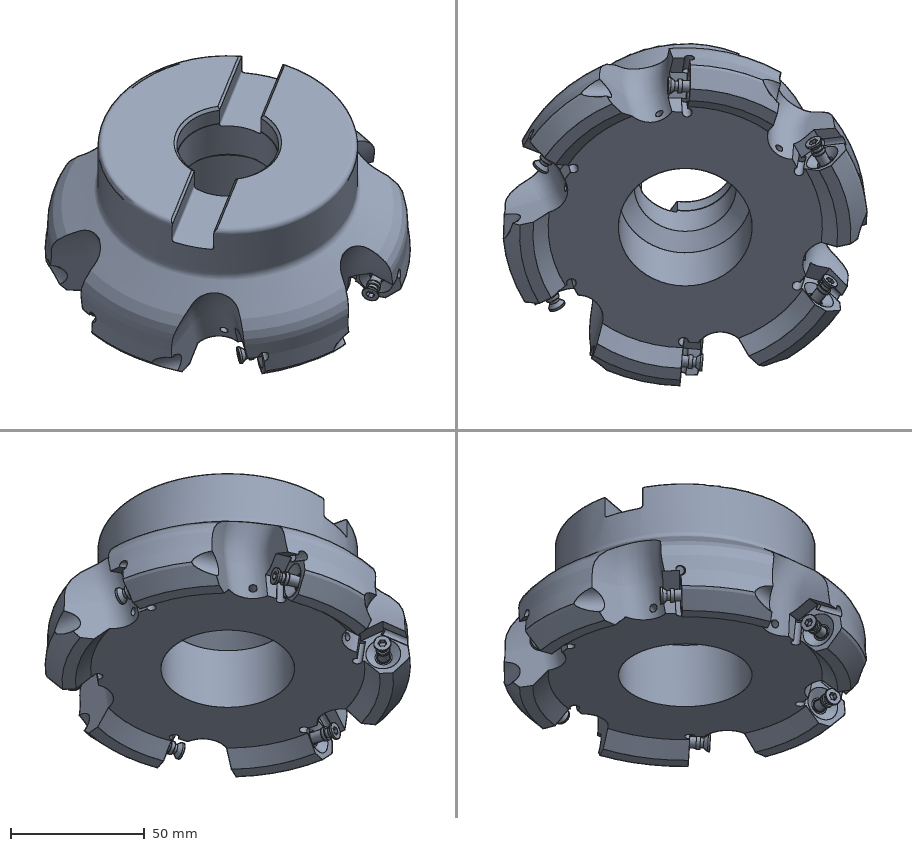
import cadquery as cq
import math

total_height = 61.71
rim_radius = 68.35
rim_low = 6.0
rim_high = 7.2
hub_radius = 48.6
hub_edge_round = 2.0
hub_base_z = 40.4
shoulder_top = (49.8, 38.0)
shoulder_facets = [(62.2, 29.3), (65.4, 26.0), (66.9, 23.1), (67.4, 20.7), (67.5, 14.5)]
neck_mid = (48.95, 39.1)
face_radius = 62.0
face_edge = 0.6
dish_outer_radius = 57.0
dish_depth = 5.7

bore_radius = 19.0
bore_chamfer = 1.1
bore_bottom_z = 37.7
relief_top_z = 53.7
relief_step = 0.15
counterbore_radius = 25.0
slot_width = 16.1
slot_depth = 9.5
slot_edge_chamfer = 0.9
slot_floor_round = 1.1
slot_overrun = 3.0

station_count = 6
station_pitch = 360 / station_count

seat_x = 58.4
seat_y = -2.9
seat_z = 8.5
seat_dip = 3.0
seat_wall_reach = 9.2
seat_top_wall = 62.0
seat_inner_wall = 172.0
seat_span = 26.0
seat_cut_length = 12.0
undercut_radius = 1.8
dish_ring_radius = 6.5
dish_ring_depth = 2.5
dish_ring_bottom = 3.2
driver_radius = 5.2
driver_start = 10.0
driver_length = 60.0

shank_radius = 2.6
shank_depth = 9.0
screw_height = 7.7
head_radius = 3.2
head_rim = 0.8
head_cone = 1.6
neck_radius = 1.9
collar_low = 2.5
collar_high = 4.0
collar_radius = 2.6
stem_radius = 2.2
socket_width = 3.2
socket_depth = 2.0

coolant_radius = 1.5
coolant_mouth = (46.6, -13.5, 9.8)
coolant_depth = 10.0
coolant_lead = 3.0
coolant_direction = cq.Vector(0.9, -0.43, 0)

gullet_bend = cq.Vector(45.3, -17.8, 19.6)
gullet_axis = cq.Vector(1.5, -2.6, 13.6).normalized()
gullet_heading = -12.0
gullet_floor_radius = 9.5
gullet_seat_wall = 11.0
gullet_back_wall = -36.0
gullet_reach = 19.0
gullet_drop = 30.0
gullet_curve_radius = 32.0
gullet_curve_angle = 50.0
gullet_curve_heading = 40.0

seat_plane = cq.Plane(
    origin=(seat_x, seat_y, seat_z),
    xDir=(1, 0, 0),
    normal=(0, -math.cos(math.radians(seat_dip)), -math.sin(math.radians(seat_dip))),
)


def polar(radius, degrees):
    """Plane point at a distance and angle from the origin."""
    angle = math.radians(degrees)
    return (radius * math.cos(angle), radius * math.sin(angle))


def at_stations(shape):
    """Copies of a shape at every cutting station."""
    return [shape.rotate((0, 0, 0), (0, 0, 1), k * station_pitch) for k in range(station_count)]


def make_blank():
    """Turned blank: dished face, lead chamfer, faceted shoulder, neck and hub."""
    profile = (
        cq.Workplane("XZ")
        .moveTo(0, dish_depth)
        .lineTo(dish_outer_radius - dish_depth, dish_depth)
        .lineTo(dish_outer_radius, 0)
        .lineTo(face_radius, 0)
        .lineTo(face_radius + face_edge, face_edge)
        .lineTo(rim_radius - face_edge, rim_low)
        .lineTo(rim_radius, rim_high)
    )
    for point in reversed(shoulder_facets):
        profile = profile.lineTo(*point)
    arc_drop = hub_edge_round * math.sin(math.radians(45))
    round_centre = (hub_radius - hub_edge_round, total_height - hub_edge_round)
    profile = (
        profile.lineTo(*shoulder_top)
        .threePointArc(neck_mid, (hub_radius, hub_base_z))
        .lineTo(hub_radius, total_height - hub_edge_round)
        .threePointArc(
            (round_centre[0] + arc_drop, round_centre[1] + arc_drop),
            (round_centre[0], total_height),
        )
        .lineTo(0, total_height)
        .close()
    )
    return profile.revolve(360, (0, 0, 0), (0, 1, 0))


def make_bore():
    """Stepped bore, chamfered at the top and coned out to the counterbore."""
    cone_height = counterbore_radius - bore_radius
    return (
        cq.Workplane("XZ")
        .moveTo(0, 0)
        .lineTo(counterbore_radius, 0)
        .lineTo(counterbore_radius, bore_bottom_z - cone_height)
        .lineTo(bore_radius + relief_step, bore_bottom_z)
        .lineTo(bore_radius + relief_step, relief_top_z)
        .lineTo(bore_radius, relief_top_z)
        .lineTo(bore_radius, total_height - bore_chamfer)
        .lineTo(bore_radius + bore_chamfer, total_height)
        .lineTo(0, total_height)
        .close()
        .revolve(360, (0, 0, 0), (0, 1, 0))
    )


def make_slot():
    """Drive slot across the hub along Y, rounded floor and chamfered top edges."""
    half = slot_width / 2
    floor = total_height - slot_depth
    wide = half + slot_edge_chamfer
    return (
        cq.Workplane("XZ")
        .moveTo(-half + slot_floor_round, floor)
        .lineTo(half - slot_floor_round, floor)
        .radiusArc((half, floor + slot_floor_round), -slot_floor_round)
        .lineTo(half, total_height - slot_edge_chamfer)
        .lineTo(wide, total_height)
        .lineTo(-wide, total_height)
        .lineTo(-half, total_height - slot_edge_chamfer)
        .lineTo(-half, floor + slot_floor_round)
        .radiusArc((-half + slot_floor_round, floor), -slot_floor_round)
        .close()
        .extrude(hub_radius + slot_overrun, both=True)
    )


def make_gullet():
    """Round-floored trough, straight below the bend and curving outwards above it."""
    heading = cq.Vector(*polar(1, gullet_heading), 0)
    outward = heading - gullet_axis * heading.dot(gullet_axis)
    plane = cq.Plane(origin=gullet_bend.toTuple(), xDir=outward.toTuple(), normal=gullet_axis.toTuple())

    def from_centre(degrees, wall_degrees, reach):
        x, y = polar(gullet_floor_radius, degrees)
        dx, dy = polar(reach, wall_degrees)
        return (gullet_floor_radius + x + dx, y + dy)

    seat_side = gullet_seat_wall + 90
    back_side = gullet_back_wall - 90
    outline = (
        cq.Workplane(plane)
        .moveTo(*from_centre(seat_side, gullet_seat_wall, gullet_reach))
        .lineTo(*from_centre(seat_side, gullet_seat_wall, 0))
        .threePointArc((0, 0), from_centre(back_side, gullet_back_wall, 0))
        .lineTo(*from_centre(back_side, gullet_back_wall, gullet_reach))
        .close()
        .wire()
    )
    outline = cq.Workplane(plane).newObject([cq.Face.makeFromWires(outline.val())])
    trough = outline.extrude(-gullet_drop, combine=False)
    pivot = polar(gullet_curve_radius, gullet_curve_heading)
    along = polar(1, gullet_curve_heading + 90)
    pivot_end = (pivot[0] + along[0], pivot[1] + along[1])
    bend = outline.revolve(gullet_curve_angle, (*pivot, 0), (*pivot_end, 0), combine=False)
    return trough.union(bend)


def make_seat_cut():
    """Three-walled seat with undercuts, dished ring, screw hole and driver clearance."""
    top_out = polar(1, seat_top_wall)
    inner_out = polar(1, seat_inner_wall)
    wall_turn = (seat_inner_wall - seat_top_wall) / 2
    corner_reach = seat_wall_reach / math.cos(math.radians(wall_turn / 2))
    top_corner = polar(corner_reach, seat_top_wall + wall_turn / 2)
    inner_corner = polar(corner_reach, seat_inner_wall - wall_turn / 2)
    top_end = (top_corner[0] + seat_span * top_out[1], top_corner[1] - seat_span * top_out[0])
    inner_end = (inner_corner[0] - seat_span * inner_out[1], inner_corner[1] + seat_span * inner_out[0])
    outer_end = (top_end[0], inner_end[1])
    seat = (
        cq.Workplane(seat_plane)
        .polyline([inner_corner, top_corner, top_end, outer_end, inner_end])
        .close()
        .extrude(seat_cut_length)
    )
    for corner, end in ((top_corner, top_end), (inner_corner, inner_end)):
        start = seat_plane.toWorldCoords(corner)
        along = seat_plane.toWorldCoords(end) - start
        seat = seat.union(cq.Workplane(cq.Solid.makeCylinder(undercut_radius, seat_span, start, along)))
    ring = (
        cq.Workplane(seat_plane)
        .circle(dish_ring_radius)
        .workplane(offset=-dish_ring_depth)
        .circle(dish_ring_bottom)
        .loft(combine=True)
    )
    hole = cq.Workplane(seat_plane).circle(shank_radius).extrude(-shank_depth)
    driver_plane = cq.Workplane(seat_plane).workplane(offset=driver_start)
    driver = driver_plane.circle(driver_radius).extrude(driver_length)
    return seat.union(ring).union(hole).union(driver)


def make_coolant_hole():
    """Blind coolant hole opening in the gullet floor beside the seat."""
    start = cq.Vector(*coolant_mouth) + coolant_direction * coolant_lead
    length = coolant_depth + coolant_lead
    return cq.Workplane(cq.Solid.makeCylinder(coolant_radius, length, start, -coolant_direction))


def make_screw():
    """Clamping screw along the seat axis: shank, collar, coned head and hex socket."""
    cone_top = screw_height - head_rim
    cone_low = cone_top - head_cone
    axis_plane = cq.Plane(
        origin=seat_plane.origin.toTuple(),
        xDir=(1, 0, 0),
        normal=seat_plane.yDir.toTuple(),
    )
    outline = [
        (0, shank_depth), (shank_radius, shank_depth), (shank_radius, dish_ring_depth),
        (stem_radius, dish_ring_depth), (stem_radius, -collar_low),
        (collar_radius, -collar_low), (collar_radius, -collar_high),
        (neck_radius, -collar_high), (neck_radius, -cone_low),
        (head_radius, -cone_top), (head_radius, -screw_height), (0, -screw_height),
    ]
    screw = cq.Workplane(axis_plane).polyline(outline).close().revolve(360, (0, 0, 0), (0, 1, 0))
    socket = (
        cq.Workplane(seat_plane)
        .workplane(offset=screw_height)
        .polygon(6, socket_width)
        .extrude(-socket_depth)
    )
    return screw.cut(socket)


station_cut = make_gullet().union(make_seat_cut()).union(make_coolant_hole())
cutter_body = make_blank().cut(make_bore()).cut(make_slot())
for cut in at_stations(station_cut):
    cutter_body = cutter_body.cut(cut)

screws = at_stations(make_screw())

result = cq.Compound.makeCompound([cutter_body.val(), *[screw.val() for screw in screws]])